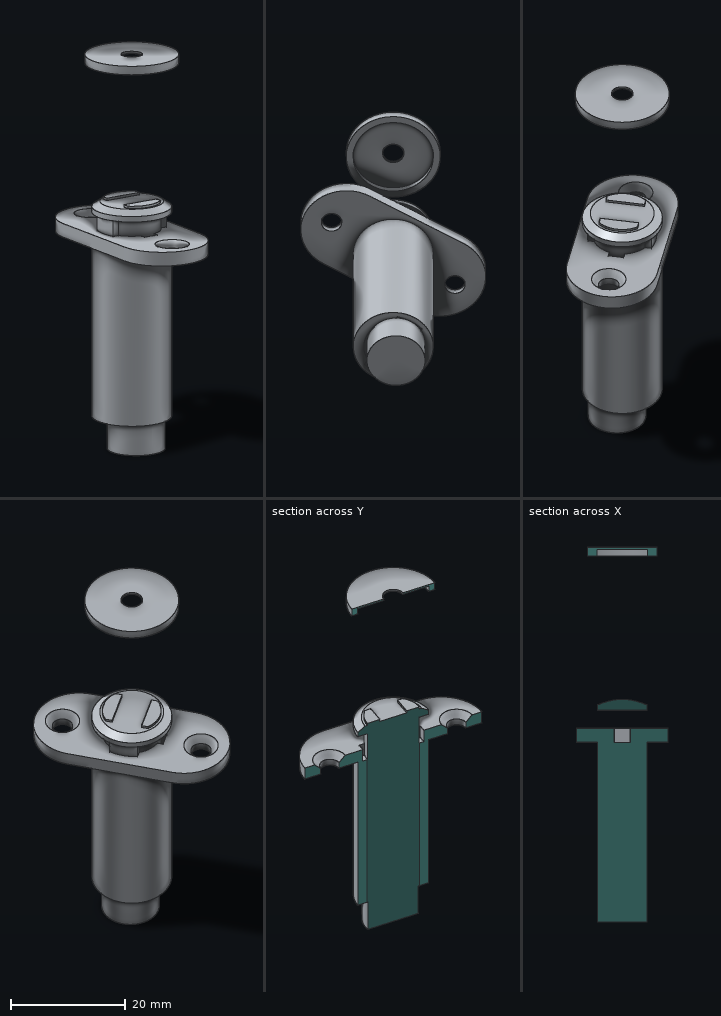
import cadquery as cq

TUBE_BOTTOM = 6.0
FLANGE_BOTTOM = 37.45
FLANGE_TOP = 39.95
HEAD_BOTTOM = 43.0
HEAD_RIM_TOP = 44.0
HEAD_TOP = 45.0
RIDGE_TOP = 45.4
CAP_TOP = 71.6

CAP_THICKNESS = 1.6
CAP_RADIUS = 8.2
CAP_HOLE_RADIUS = 1.85
CAP_LIP = 0.4

TUBE_RADIUS = 7.0
FLANGE_LENGTH = 35.0
FLANGE_WIDTH = 16.05
SCREW_SPACING = 25.05
SCREW_HOLE_DIAMETER = 3.6
COUNTERSINK_DIAMETER = 6.0
COUNTERSINK_ANGLE = 90
NOTCH_WIDTH = 2.7
NOTCH_REACH = 6.0

HEAD_RADIUS = TUBE_RADIUS
CAP_RECESS_RADIUS = HEAD_RADIUS
HEAD_TOP_RADIUS = 5.6
SHANK_RADIUS = 5.15
KEY_WIDTH = 5.0
KEY_REACH = 6.0
KEY_SIDE_REACH = 5.65
TIP_RADIUS = 5.1
TIP_OFFSET = KEY_REACH - TIP_RADIUS
RIDGE_INNER_EDGE = 2.65
RIDGE_LENGTH = 6.9
RIDGE_OUTER_RADIUS = SHANK_RADIUS


def cylinder(radius, bottom, top):
    return cq.Workplane("XY").workplane(offset=bottom).circle(radius).extrude(top - bottom)


def keyed_shank(bottom, top):
    """Round shank with a crowned key on its +Y and -Y sides."""
    half_width = KEY_WIDTH / 2
    keys = (
        cq.Workplane("XY")
        .workplane(offset=bottom)
        .moveTo(-half_width, -KEY_SIDE_REACH)
        .threePointArc((0, -KEY_REACH), (half_width, -KEY_SIDE_REACH))
        .lineTo(half_width, KEY_SIDE_REACH)
        .threePointArc((0, KEY_REACH), (-half_width, KEY_SIDE_REACH))
        .close()
        .extrude(top - bottom)
    )
    return cylinder(SHANK_RADIUS, bottom, top).union(keys)


def make_cap():
    """Thin disc with a central hole and a recess in its underside."""
    bottom = CAP_TOP - CAP_THICKNESS
    hole = cylinder(CAP_HOLE_RADIUS, bottom, CAP_TOP)
    recess = cylinder(CAP_RECESS_RADIUS, bottom, CAP_TOP - CAP_LIP)
    return cylinder(CAP_RADIUS, bottom, CAP_TOP).cut(hole).cut(recess)


def make_housing():
    """Flanged tube with two countersunk screw holes and a keyed bore, notched at the flange on its +X and -X sides."""
    flange = (
        cq.Workplane("XY")
        .workplane(offset=FLANGE_BOTTOM)
        .slot2D(FLANGE_LENGTH, FLANGE_WIDTH)
        .extrude(FLANGE_TOP - FLANGE_BOTTOM)
        .faces(">Z")
        .workplane()
        .pushPoints([(-SCREW_SPACING / 2, 0), (SCREW_SPACING / 2, 0)])
        .cskHole(SCREW_HOLE_DIAMETER, COUNTERSINK_DIAMETER, COUNTERSINK_ANGLE)
    )
    tube = cylinder(TUBE_RADIUS, TUBE_BOTTOM, FLANGE_BOTTOM)
    notches = (
        cq.Workplane("XY")
        .workplane(offset=FLANGE_BOTTOM)
        .rect(2 * NOTCH_REACH, NOTCH_WIDTH)
        .extrude(FLANGE_TOP - FLANGE_BOTTOM)
    )
    return flange.union(tube).cut(keyed_shank(TUBE_BOTTOM, FLANGE_TOP)).cut(notches)


def make_head():
    """Turned head with a conical shoulder and a flat top."""
    return (
        cq.Workplane("XZ")
        .moveTo(0, HEAD_BOTTOM)
        .lineTo(HEAD_RADIUS, HEAD_BOTTOM)
        .lineTo(HEAD_RADIUS, HEAD_RIM_TOP)
        .lineTo(HEAD_TOP_RADIUS, HEAD_TOP)
        .lineTo(0, HEAD_TOP)
        .close()
        .revolve(360, (0, 0, 0), (0, 1, 0))
    )


def make_ridge(side):
    """Raised pad on the head, on the +X side (side = 1) or the -X side (side = -1)."""
    width = RIDGE_OUTER_RADIUS - RIDGE_INNER_EDGE
    block = (
        cq.Workplane("XY")
        .workplane(offset=HEAD_TOP)
        .center(side * (RIDGE_INNER_EDGE + width / 2), 0)
        .rect(width, RIDGE_LENGTH)
        .extrude(RIDGE_TOP - HEAD_TOP)
    )
    return block.intersect(cylinder(RIDGE_OUTER_RADIUS, HEAD_TOP, RIDGE_TOP))


def make_plunger():
    """Headed, keyed shank that fills the housing bore and ends in an eccentric tip."""
    tip = cylinder(TIP_RADIUS, 0, TUBE_BOTTOM).translate((0, TIP_OFFSET, 0))
    body = keyed_shank(TUBE_BOTTOM, HEAD_BOTTOM).union(tip).union(make_head())
    for side in (-1, 1):
        body = body.union(make_ridge(side))
    return body


cap = make_cap()
housing = make_housing()
plunger = make_plunger()

result = cq.Compound.makeCompound([cap.val(), housing.val(), plunger.val()])